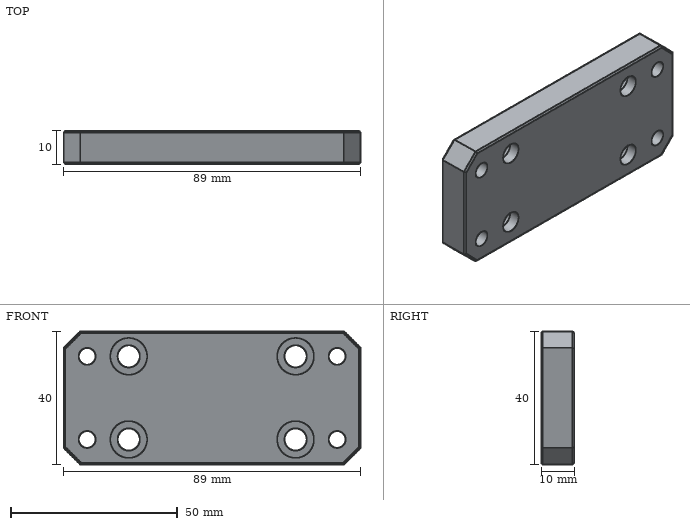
import cadquery as cq

length = 89.0
thickness = 10.0
height = 40.0
corner_cut = 5.0
edge_chamfer = 0.5

end_hole_diameter = 5.0
end_hole_spacing = 74.9

screw_hole_diameter = 6.6
counterbore_diameter = 11.0
counterbore_depth = 6.5
screw_hole_spacing = 50.0

row_spacing = 24.9


def make_plate():
    """Plate centred on the origin, with cut corners and both faces chamfered."""
    plate = cq.Workplane("XY").box(length, thickness, height)
    plate = plate.edges("|Y").chamfer(corner_cut)
    return plate.faces("<Y or >Y").chamfer(edge_chamfer)


def front_hole_pattern(plate, column_spacing):
    """Four hole centres on the -Y face of the plate."""
    face = plate.faces("<Y").workplane(centerOption="CenterOfBoundBox")
    return face.rarray(column_spacing, row_spacing, 2, 2)


plate = make_plate()
plate = front_hole_pattern(plate, end_hole_spacing).hole(end_hole_diameter)
result = front_hole_pattern(plate, screw_hole_spacing).cboreHole(
    screw_hole_diameter, counterbore_diameter, counterbore_depth
)